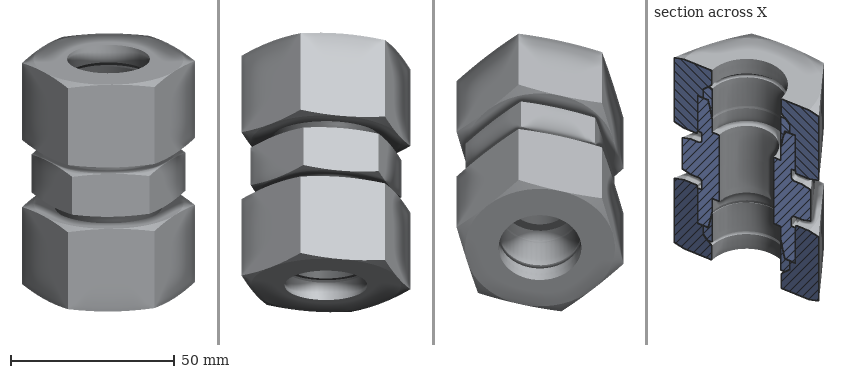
import cadquery as cq
import math


NUT_FLATS = 46.0
BODY_FLATS = 41.0
HEX_CHAMFER_ANGLE = math.radians(15)

TUBE_DIAMETER = 25.0
NUT_BORE_DIAMETER = 25.4
FLOW_BORE_DIAMETER = 20.0
NECK_DIAMETER = 33.0
THREAD_DIAMETER = 36.0
RING_FACE_DIAMETER = 28.0
RING_COLLAR_DIAMETER = 31.5
CONE_MOUTH_DIAMETER = 28.0

TOTAL_LENGTH = 74.0
NUT_LENGTH = 27.0
BODY_HEX_LENGTH = 14.0
BODY_LENGTH = 50.0
NECK_LENGTH = 4.0
NECK_FILLET = 1.2
SOCKET_DEPTH = 12.0
NUT_BORE_LENGTH = 5.7
RING_TIP_WALL = 0.2
CONE_HALF_ANGLE = math.radians(12)

NUT_TOP = TOTAL_LENGTH / 2
NUT_BOTTOM = NUT_TOP - NUT_LENGTH
HEX_TOP = BODY_HEX_LENGTH / 2
BODY_TOP = BODY_LENGTH / 2
THREAD_START = HEX_TOP + NECK_LENGTH
TUBE_STOP = BODY_TOP - SOCKET_DEPTH
CONE_BOTTOM = BODY_TOP - (CONE_MOUTH_DIAMETER - TUBE_DIAMETER) / 2 / math.tan(CONE_HALF_ANGLE)
RING_TIP = CONE_BOTTOM + RING_TIP_WALL / math.tan(CONE_HALF_ANGLE)

SHOULDER_TOP = NUT_TOP - NUT_BORE_LENGTH
RING_TOP = SHOULDER_TOP - (RING_FACE_DIAMETER - NUT_BORE_DIAMETER) / 2
SHOULDER_BOTTOM = SHOULDER_TOP - (RING_COLLAR_DIAMETER - NUT_BORE_DIAMETER) / 2


def revolve_profile(diameter_height_pairs):
    """Revolve a closed outline of (diameter, height) corners about Z."""
    points = [(diameter / 2, height) for diameter, height in diameter_height_pairs]
    return cq.Workplane("XZ").polyline(points).close().revolve(360, (0, 0, 0), (0, 1, 0))


def chamfered_hexagon(flats, bottom, top):
    """Hexagonal prism with flats on +-X and its corners turned off at both ends."""
    corners = flats / math.cos(math.radians(30))
    drop = (corners - flats) / 2 * math.tan(HEX_CHAMFER_ANGLE)
    prism = (
        cq.Workplane("XY")
        .workplane(offset=bottom)
        .polygon(6, corners)
        .extrude(top - bottom)
        .rotate((0, 0, 0), (0, 0, 1), 30)
    )
    turned_blank = revolve_profile([
        (0, bottom),
        (flats, bottom),
        (corners, bottom + drop),
        (corners, top - drop),
        (flats, top),
        (0, top),
    ])
    return prism.intersect(turned_blank)


def threaded_end():
    """Upper stub of the body: neck with a filleted root, then the thread cylinder."""
    neck = cq.Workplane("XY").circle(NECK_DIAMETER / 2).extrude(THREAD_START)
    thread = (
        cq.Workplane("XY")
        .workplane(offset=THREAD_START)
        .circle(THREAD_DIAMETER / 2)
        .extrude(BODY_TOP - THREAD_START)
    )
    neck_radius = NECK_DIAMETER / 2
    arc_drop = NECK_FILLET * (1 - math.sqrt(0.5))
    root_fillet = (
        cq.Workplane("XZ")
        .moveTo(0, HEX_TOP)
        .lineTo(neck_radius + NECK_FILLET, HEX_TOP)
        .threePointArc(
            (neck_radius + arc_drop, HEX_TOP + arc_drop),
            (neck_radius, HEX_TOP + NECK_FILLET),
        )
        .lineTo(0, HEX_TOP + NECK_FILLET)
        .close()
        .revolve(360, (0, 0, 0), (0, 1, 0))
    )
    return neck.union(root_fillet).union(thread)


def body_bore():
    """Upper half of the body bore: flow bore, tube socket and ring cone."""
    return revolve_profile([
        (0, 0),
        (FLOW_BORE_DIAMETER, 0),
        (FLOW_BORE_DIAMETER, TUBE_STOP),
        (TUBE_DIAMETER, TUBE_STOP),
        (TUBE_DIAMETER, CONE_BOTTOM),
        (CONE_MOUTH_DIAMETER, BODY_TOP),
        (0, BODY_TOP),
    ])


def make_body():
    """Hexagon with a threaded, bored stub on each end."""
    hexagon = chamfered_hexagon(BODY_FLATS, -HEX_TOP, HEX_TOP)
    stub = threaded_end()
    bore = body_bore()
    outside = hexagon.union(stub).union(stub.mirror("XY"))
    return outside.cut(bore).cut(bore.mirror("XY"))


def make_nut():
    """Upper union nut with thread bore, 45 degree shoulder and tube bore."""
    cavity = revolve_profile([
        (0, NUT_BOTTOM),
        (THREAD_DIAMETER, NUT_BOTTOM),
        (THREAD_DIAMETER, BODY_TOP),
        (RING_COLLAR_DIAMETER, BODY_TOP),
        (RING_COLLAR_DIAMETER, SHOULDER_BOTTOM),
        (NUT_BORE_DIAMETER, SHOULDER_TOP),
        (NUT_BORE_DIAMETER, NUT_TOP),
        (0, NUT_TOP),
    ])
    return chamfered_hexagon(NUT_FLATS, NUT_BOTTOM, NUT_TOP).cut(cavity)


def make_ring():
    """Upper cutting ring, seated between the nut shoulder and the body cone."""
    return revolve_profile([
        (TUBE_DIAMETER, RING_TOP),
        (RING_FACE_DIAMETER, RING_TOP),
        (RING_COLLAR_DIAMETER, SHOULDER_BOTTOM),
        (RING_COLLAR_DIAMETER, BODY_TOP),
        (CONE_MOUTH_DIAMETER, BODY_TOP),
        (TUBE_DIAMETER + 2 * RING_TIP_WALL, RING_TIP),
        (TUBE_DIAMETER, RING_TIP),
    ])


solids = [make_body().val()]
for end_part in (make_nut(), make_ring()):
    for placed_part in (end_part, end_part.mirror("XY")):
        solids.append(placed_part.val())

result = cq.Compound.makeCompound(solids)